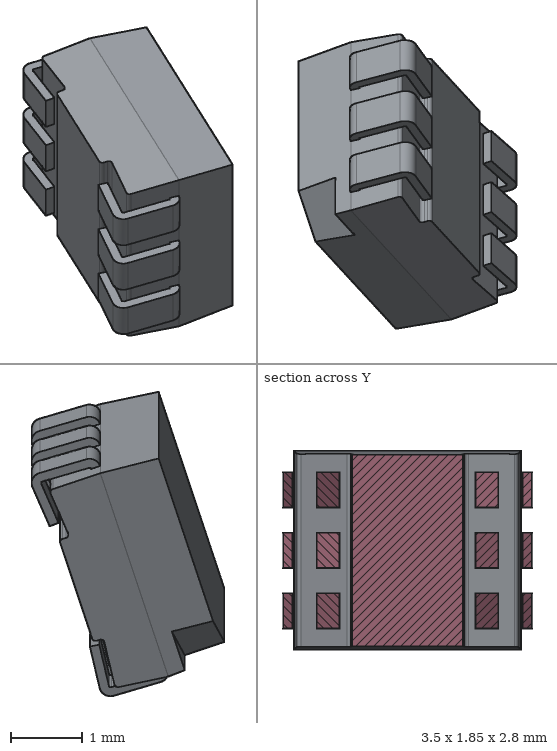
import cadquery as cq
import math

span_over_leads = 3.5
housing_width = 3.195
housing_length = 2.8
back_height = 0.845
front_height = 0.855
draft_angle = 3.5

pad_half_width = 0.8
relief_height_at_pad = 0.7
relief_slope = math.tan(math.radians(5))
edge_radius = 0.05

bevel_reach = 0.64
bevel_start = 0.25

lead_width = 0.5
lead_pitch = 0.85
leads_per_side = 3
lead_thickness = 0.135
lead_depth = 1.005
bend_outer_radius = 0.16
bend_inner_radius = bend_outer_radius - lead_thickness
foot_angle = 5
foot_length = 0.635

half_width = housing_width / 2
half_length = housing_length / 2


def relief_cutter():
    """Wedge that makes room for the feet on the -X side of the pad."""
    outer_x = -span_over_leads / 2
    relief_height_at_outside = relief_height_at_pad + (-outer_x - pad_half_width) * relief_slope
    return (
        cq.Workplane("XY")
        .moveTo(-pad_half_width, -relief_height_at_pad)
        .lineTo(-pad_half_width, -lead_depth)
        .lineTo(outer_x, -lead_depth)
        .lineTo(outer_x, -relief_height_at_outside)
        .close()
        .extrude(half_length, both=True)
    )


def front_half():
    """Drafted half facing -Y, relieved on both sides of the pad, with rounded edges."""
    half = cq.Workplane("XZ").rect(housing_width, housing_length).extrude(front_height, taper=draft_angle)
    relief = relief_cutter()
    half = half.cut(relief).cut(relief.mirror("YZ"))
    return half.edges("|Z").edges("not >Y").fillet(edge_radius)


def back_half():
    """Drafted half facing +Y, with a 45 degree bevel on its -X, -Z corner."""
    half = cq.Workplane("ZX").rect(housing_length, housing_width).extrude(back_height, taper=draft_angle)
    bevel = (
        cq.Workplane("ZX", origin=(0, bevel_start, 0))
        .moveTo(-half_length, -half_width)
        .lineTo(-half_length + bevel_reach, -half_width)
        .lineTo(-half_length, -half_width + bevel_reach)
        .close()
        .extrude(back_height)
    )
    return half.cut(bevel)


def on_circle(centre, radius, degrees):
    """Point at the given angle on a bend."""
    angle = math.radians(degrees)
    return centre[0] + radius * math.cos(angle), centre[1] + radius * math.sin(angle)


def lead(z_centre):
    """Folded strip on the -X side: out of the housing, along its wall and back across its front."""
    bend_x = -span_over_leads / 2 + bend_outer_radius
    shoulder = (bend_x, -bend_outer_radius)
    heel = (bend_x, -lead_depth + bend_outer_radius)
    foot_start_angle = 270 + foot_angle
    heel_middle_angle = (180 + foot_start_angle) / 2
    foot_run = foot_length * math.cos(math.radians(foot_angle))
    foot_rise = foot_length * math.sin(math.radians(foot_angle))
    foot_outer = on_circle(heel, bend_outer_radius, foot_start_angle)
    foot_inner = on_circle(heel, bend_inner_radius, foot_start_angle)
    return (
        cq.Workplane("XY", origin=(0, 0, z_centre))
        .moveTo(*on_circle(shoulder, bend_outer_radius, 90))
        .threePointArc(
            on_circle(shoulder, bend_outer_radius, 135),
            on_circle(shoulder, bend_outer_radius, 180),
        )
        .lineTo(*on_circle(heel, bend_outer_radius, 180))
        .threePointArc(on_circle(heel, bend_outer_radius, heel_middle_angle), foot_outer)
        .lineTo(foot_outer[0] + foot_run, foot_outer[1] + foot_rise)
        .lineTo(foot_inner[0] + foot_run, foot_inner[1] + foot_rise)
        .lineTo(*foot_inner)
        .threePointArc(
            on_circle(heel, bend_inner_radius, heel_middle_angle),
            on_circle(heel, bend_inner_radius, 180),
        )
        .lineTo(*on_circle(shoulder, bend_inner_radius, 180))
        .threePointArc(
            on_circle(shoulder, bend_inner_radius, 135),
            on_circle(shoulder, bend_inner_radius, 90),
        )
        .close()
        .extrude(lead_width / 2, both=True)
    )


housing = front_half().union(back_half())

leads = []
for index in range(leads_per_side):
    left_lead = lead((index - (leads_per_side - 1) / 2) * lead_pitch).cut(housing)
    leads.append(left_lead.val())
    leads.append(left_lead.mirror("YZ").val())

result = cq.Compound.makeCompound([housing.val(), *leads])